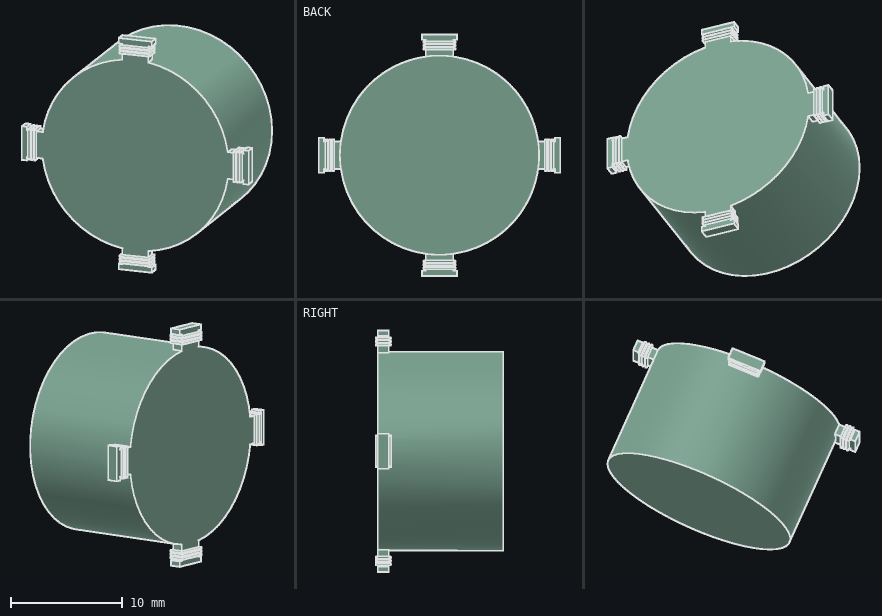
import cadquery as cq

overall_span = 21.6
body_radius = 8.9
body_depth = 11.23

arm_count = 4
arm_width = 2.48
arm_thickness = 1.0
head_width = 3.15
head_length = 0.5

ring_count = 3
ring_thickness = 0.2
ring_height = 0.2
ring_gap = 0.1

arm_tip = overall_span / 2
arm_root = body_radius / 2
head_start = arm_tip - head_length
ring_pitch = ring_thickness + ring_gap


def radial_bar(width, inner, outer):
    """Bar of arm thickness along +Z, starting at inner and ending at outer."""
    length = outer - inner
    return (
        cq.Workplane("XY")
        .box(width, arm_thickness, length)
        .translate((0, arm_thickness / 2, inner + length / 2))
    )


def make_ring(index):
    """Ring with half-round edges and mitred corners; index 0 sits next to the head."""
    width = arm_width + 2 * ring_height
    depth = arm_thickness + 2 * ring_height
    centre = head_start - ring_gap - ring_thickness / 2 - index * ring_pitch
    across = cq.Workplane("XZ").slot2D(width, ring_thickness).extrude(depth / 2, both=True)
    along = cq.Workplane("YZ").slot2D(depth, ring_thickness).extrude(width / 2, both=True)
    return across.intersect(along).translate((0, arm_thickness / 2, centre))


def make_arm():
    """Arm pointing along +Z, with its head and rings."""
    arm = radial_bar(arm_width, arm_root, arm_tip)
    arm = arm.union(radial_bar(head_width, head_start, arm_tip))
    for index in range(ring_count):
        arm = arm.union(make_ring(index))
    return arm


result = cq.Workplane("XZ").circle(body_radius).extrude(-body_depth)

arm = make_arm()
for index in range(arm_count):
    angle = index * 360 / arm_count
    result = result.union(arm.rotate((0, 0, 0), (0, 1, 0), angle))